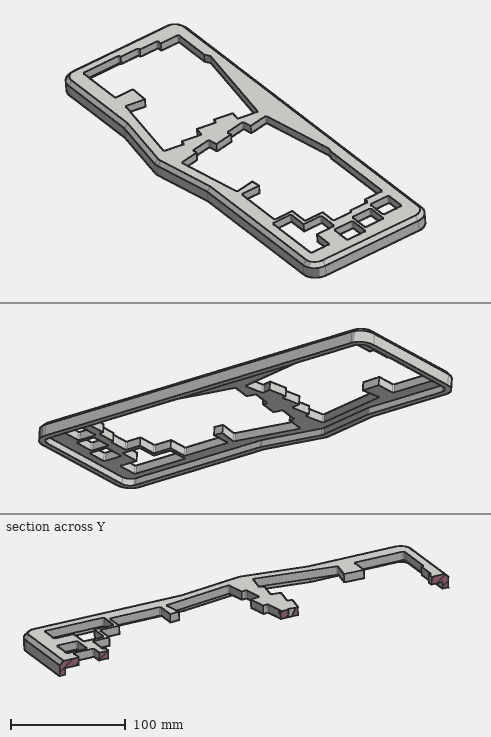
import cadquery as cq
import math


length = 379.0
depth = 138.7
thickness = 14.5
rear_y = 68.5
tilt = 5.0
edge_chamfer = 3.8
corner_radius = 14.0
web = 8.0
rim = 5.5

split_x = -30.0
split_angle = 10.0
peak_half_width = 62.0

row_count = 5
rows_depth = 95.0
key = rows_depth / row_count
clearance = 0.5
opening_radius = 1.25
rear_row_y = 54.0
angled_rear = 39.5
angled_front_outer = 74.5

cos_split = math.cos(math.radians(split_angle))
sin_split = math.sin(math.radians(split_angle))


def rounded_prism(points, radius):
    """Prism through the plate from a counter-clockwise outline, its outward corners rounded."""
    stretches = []
    for i, (x, y) in enumerate(points):
        before = points[i - 1]
        after = points[(i + 1) % len(points)]
        length_in = math.hypot(x - before[0], y - before[1])
        length_out = math.hypot(after[0] - x, after[1] - y)
        in_x, in_y = (x - before[0]) / length_in, (y - before[1]) / length_in
        out_x, out_y = (after[0] - x) / length_out, (after[1] - y) / length_out
        turn = math.atan2(in_x * out_y - in_y * out_x, in_x * out_x + in_y * out_y)
        if turn <= 0:
            stretches.append([(x, y)])
            continue
        setback = radius * math.tan(turn / 2)
        bulge = radius * (1 / math.cos(turn / 2) - 1) / (2 * math.sin(turn / 2))
        start = (x - setback * in_x, y - setback * in_y)
        middle = (x + bulge * (out_x - in_x), y + bulge * (out_y - in_y))
        end = (x + setback * out_x, y + setback * out_y)
        stretches.append([start, middle, end])

    outline = cq.Workplane("XY").moveTo(*stretches[0][-1])
    for stretch in stretches[1:] + stretches[:1]:
        outline = outline.lineTo(*stretch[0])
        if len(stretch) > 1:
            outline = outline.threePointArc(stretch[1], stretch[2])
    return outline.close().extrude(-thickness)


def stepped_side(edges, rear, side):
    """Rear-to-front points of an opening side that steps at each key row.

    side is +1 where the opening ends at larger coordinates and -1 where it ends at smaller ones.
    """
    points = [(edges[0] + side * clearance, rear + clearance)]
    for row in range(1, len(edges)):
        step = edges[row] - edges[row - 1]
        if step == 0:
            continue
        overlap = clearance if side * step > 0 else -clearance
        boundary = rear - row * key + overlap
        points.append((edges[row - 1] + side * clearance, boundary))
        points.append((edges[row] + side * clearance, boundary))
    front = rear - len(edges) * key - clearance
    points.append((edges[-1] + side * clearance, front))
    return points


def place_angled(points, side):
    """Plate coordinates of (outward, rearward) cluster points; side is -1 left, +1 right."""
    return [
        (
            split_x + side * (outward * cos_split - rearward * sin_split),
            outward * sin_split + rearward * cos_split,
        )
        for outward, rearward in points
    ]


def main_opening(side, straight_edges, post_edge, inner_edge, inner_steps, rear_keys):
    """Opening for one half: straight outer rows joined to the angled inner cluster.

    post_edge is the inner end of the straight front row, where the post stands.
    inner_edge is the inner side of the cluster's rear row, measured outward.
    inner_steps are the row offsets of the cluster's inner side in keys, and
    rear_keys is the number of keys in its rear row.
    """
    straight_side = stepped_side(straight_edges, rear_row_y, side)
    post_x = post_edge - side * clearance
    post_y = rear_row_y - (row_count - 1) * key - clearance

    inner_edges = [inner_edge + step * key for step in inner_steps]
    inner_side = stepped_side(inner_edges, angled_rear, -1)
    cluster_rear = angled_rear + clearance
    cluster_outer = inner_edge + rear_keys * key + clearance
    front_outer = angled_front_outer + clearance
    post_rear = angled_rear - (row_count - 1) * key - clearance
    cluster_front = angled_rear - row_count * key - clearance
    cluster = [(front_outer, post_rear), (front_outer, cluster_front)]
    cluster += inner_side[::-1]
    cluster.append((cluster_outer, cluster_rear))

    points = straight_side
    points.append((post_x, straight_side[-1][1]))
    points.append((post_x, post_y))
    points += place_angled(cluster, side)
    points.append((post_edge, rear_row_y + clearance))
    if side > 0:
        points = points[::-1]
    return rounded_prism(points, opening_radius)


def rectangle(left, right, front, rear):
    return [(left, front), (right, front), (right, rear), (left, rear)]


front_peak_y = rear_y - depth
peak_rounding = corner_radius * (1 / cos_split - 1)
peak_tip_y = front_peak_y - peak_rounding
front_y = peak_tip_y + peak_half_width * math.tan(math.radians(split_angle))
body_outline = [
    (-length / 2, rear_y),
    (-length / 2, front_y),
    (split_x - peak_half_width, front_y),
    (split_x, peak_tip_y),
    (split_x + peak_half_width, front_y),
    (length / 2, front_y),
    (length / 2, rear_y),
]
blank = rounded_prism(body_outline, corner_radius)
body = blank.faces(">Z").edges().chamfer(edge_chamfer)

hollow = blank.faces("<Z").wires().toPending().offset2D(-rim).extrude(thickness - web, combine=False)
body = body.cut(hollow)

left_rear_edge = -168.0
left_edges = [left_rear_edge - step * key for step in (0, 0.25, 0.375, 0.5, 0.5)]
left_front_keys = 2.5
left_opening = main_opening(
    side=-1,
    straight_edges=left_edges,
    post_edge=left_edges[-1] + left_front_keys * key,
    inner_edge=7.5,
    inner_steps=(0, 0.5, 0.25, -0.25, -0.5),
    rear_keys=5,
)

right_rear_edge = 137.0
beside_up_arrow = 127.7
right_edges = [right_rear_edge + step * key for step in (0, 0.25, 0.375)]
right_edges += [beside_up_arrow, beside_up_arrow - key]
right_opening = main_opening(
    side=1,
    straight_edges=right_edges,
    post_edge=60.0,
    inner_edge=17.0,
    inner_steps=(0, -0.5, -0.25, -0.75, -0.5),
    rear_keys=4,
)

body = body.cut(left_opening).cut(right_opening)

single_count = 3
single_size = key + 2 * clearance
single_x = 156.0
single_rear = rear_row_y + clearance
single_pitch = 1.2 * key
single_stagger = 0.25 * key
for index in range(single_count):
    center_x = single_x + index * single_stagger
    rear = single_rear - index * single_pitch
    square = rectangle(center_x - single_size / 2, center_x + single_size / 2, rear - single_size, rear)
    body = body.cut(rounded_prism(square, opening_radius))

arrow_x = 141.5
arrow_rear = -7.5
arrow_front = arrow_rear - 2 * (key + clearance)
arrow_shoulder = arrow_front + single_size
arrow_half_width = 1.5 * key + clearance
up_half_width = single_size / 2
arrow_outline = [
    (arrow_x - arrow_half_width, arrow_front),
    (arrow_x + arrow_half_width, arrow_front),
    (arrow_x + arrow_half_width, arrow_shoulder),
    (arrow_x + up_half_width, arrow_shoulder),
    (arrow_x + up_half_width, arrow_rear),
    (arrow_x - up_half_width, arrow_rear),
    (arrow_x - up_half_width, arrow_shoulder),
    (arrow_x - arrow_half_width, arrow_shoulder),
]
body = body.cut(rounded_prism(arrow_outline, opening_radius))

result = body.rotate((0, 0, 0), (1, 0, 0), tilt)